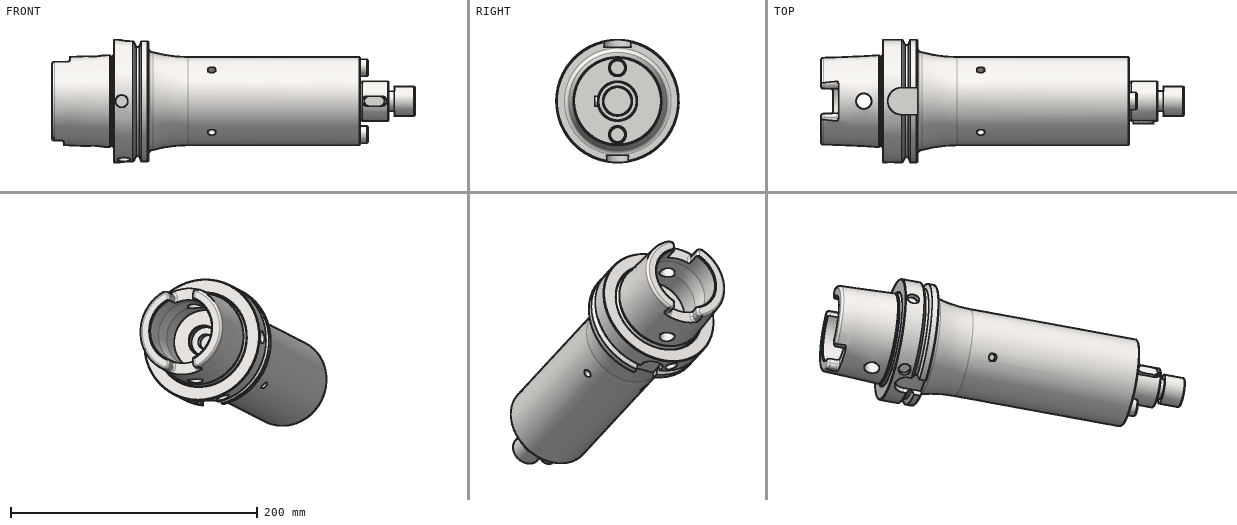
import cadquery as cq
import math


flange_start = 50.0
flange_end = 78.5
body_start = 110.3
body_end = 250.5
pilot_start = 252.0
pilot_end = 273.7
overall_length = 295.0

taper_end_radius = 35.5
taper_root_radius = 37.5
shank_end_fillet = 2.0
relief_start = 47.0
relief_radius = 36.5
relief_slope_length = 1.0
relief_floor_length = 1.2
relief_face_radius = 39.2
relief_face_depth = 1.0

flange_radius = 100.0 / 2
flange_front_chamfer = 0.5
flange_back_chamfer = 1.0
groove_rim_chamfer = 1.0
groove_bottom_radius = 45.7
groove_rim_start = 66.5
groove_bottom_start = 68.5
groove_bottom_end = 70.8
groove_rim_end = 72.5

body_radius = 36.0
neck_start = 82.0
neck_start_radius = 39.8
neck_fillet = neck_start - flange_end
body_chamfer = 1.0

pilot_radius = 16.2
undercut_radius = 15.3
pilot_chamfer = 1.0

mouth_radius = 27.5
bore_radius = 26.5
bore_end_radius = 24.8
bore_cone_start = 20.0
bore_cone_end = 34.5
bore_depth = 53.0
coolant_thread_radius = 11.8
coolant_thread_depth = 6.0
coolant_chamfer = 0.5
coolant_hole_radius = 6.2
coolant_hole_depth = 11.8

slot_half_width = 10.0
upper_slot_depth = 14.5
lower_slot_depth = 9.7
slot_floor_fillet = 1.8
slot_flare_radius = 3.2
slot_flare_top = 32.0

cross_hole_radius = 6.2
cross_hole_x = 34.8
upper_flat_half_width = 11.0
lower_flat_half_width = 8.8
flat_start = 54.3
flat_height = 44.0
flange_hole_radius = 5.0
side_hole_x = 56.5
lower_hole_x = 58.5
lower_hole_angle = 72
flange_hole_depth = 4.0
body_hole_radius = 3.2
body_hole_x = 129.8
body_hole_depth = 8.8

key_width = 8.0
key_start = 253.5
key_end = 270.0
key_top = 18.3
key_bottom = 12.5
keyway_start = 251.8
keyway_end = 272.0

pin_radius = 7.0
pin_offset = 27.0
pin_end = 257.0
pin_seat_depth = pin_end - body_end
pin_chamfer = 1.2

screw_head_radius = 12.0
screw_head_start = 278.0
screw_head_chamfer = 1.0
screw_shank_radius = 8.3
screw_shank_start = body_end


def cylinder_x(start, end, radius, y=0, z=0):
    """Cylinder parallel to the X axis."""
    plane = cq.Workplane("YZ", origin=(start, y, z))
    return plane.circle(radius).extrude(end - start)


def radial_hole(x, angle, surface_radius, radius, depth):
    """Cutter for a blind hole pointing at the axis; the angle turns from -Y towards -Z."""
    direction = cq.Vector(0, -math.cos(math.radians(angle)), -math.sin(math.radians(angle)))
    floor = cq.Vector(x, 0, 0) + direction * (surface_radius - depth)
    return cq.Workplane(obj=cq.Solid.makeCylinder(radius, 2 * depth, floor, direction))


def revolved_blank():
    """Outer shape of the arbor before anything is cut from it."""
    drop = neck_start_radius - body_radius
    run = body_start - neck_start
    neck_radius = (run**2 + drop**2) / (2 * drop)
    half_angle = math.asin(run / neck_radius) / 2
    neck_middle = (
        body_start - neck_radius * math.sin(half_angle),
        body_radius + neck_radius * (1 - math.cos(half_angle)),
    )
    fillet_middle = (
        neck_start - neck_fillet * math.sin(math.pi / 4),
        neck_start_radius + neck_fillet * (1 - math.cos(math.pi / 4)),
    )
    relief_floor_end = relief_start + relief_slope_length + relief_floor_length
    outline = (
        cq.Workplane("XZ")
        .moveTo(0, 0)
        .lineTo(0, taper_end_radius)
        .lineTo(relief_start, taper_root_radius)
        .lineTo(relief_start + relief_slope_length, relief_radius)
        .lineTo(relief_floor_end, relief_radius)
        .lineTo(flange_start + relief_face_depth, relief_face_radius - relief_face_depth)
        .lineTo(flange_start, relief_face_radius)
        .lineTo(flange_start, flange_radius - flange_front_chamfer)
        .lineTo(flange_start + flange_front_chamfer, flange_radius)
        .lineTo(groove_rim_start - groove_rim_chamfer, flange_radius)
        .lineTo(groove_rim_start, flange_radius - groove_rim_chamfer)
        .lineTo(groove_bottom_start, groove_bottom_radius)
        .lineTo(groove_bottom_end, groove_bottom_radius)
        .lineTo(groove_rim_end, flange_radius)
        .lineTo(flange_end - flange_back_chamfer, flange_radius)
        .lineTo(flange_end, flange_radius - flange_back_chamfer)
        .lineTo(flange_end, neck_start_radius + neck_fillet)
        .threePointArc(fillet_middle, (neck_start, neck_start_radius))
        .threePointArc(neck_middle, (body_start, body_radius))
        .lineTo(body_end - body_chamfer, body_radius)
        .lineTo(body_end, body_radius - body_chamfer)
        .lineTo(body_end, undercut_radius)
        .lineTo(pilot_start, undercut_radius)
        .lineTo(pilot_start, pilot_radius)
        .lineTo(pilot_end - pilot_chamfer, pilot_radius)
        .lineTo(pilot_end, pilot_radius - pilot_chamfer)
        .lineTo(pilot_end, 0)
        .close()
    )
    return outline.revolve(360, (0, 0, 0), (1, 0, 0))


def shank_bore():
    """Cutter for the stepped bore of the hollow shank."""
    mouth_chamfer = mouth_radius - bore_radius
    thread_end = bore_depth + coolant_thread_depth
    hole_end = bore_depth + coolant_hole_depth
    outline = (
        cq.Workplane("XZ")
        .moveTo(0, 0)
        .lineTo(0, mouth_radius)
        .lineTo(mouth_chamfer, bore_radius)
        .lineTo(bore_cone_start, bore_radius)
        .lineTo(bore_cone_end, bore_end_radius)
        .lineTo(bore_depth, bore_end_radius)
        .lineTo(bore_depth, coolant_thread_radius + coolant_chamfer)
        .lineTo(bore_depth + coolant_chamfer, coolant_thread_radius)
        .lineTo(thread_end, coolant_thread_radius)
        .lineTo(thread_end, coolant_hole_radius)
        .lineTo(hole_end, coolant_hole_radius)
        .lineTo(hole_end, 0)
        .close()
    )
    return outline.revolve(360, (0, 0, 0), (1, 0, 0))


def drive_slot(depth, side):
    """Cutter for one drive slot whose walls flare outwards at the rim; side is +1 for the top."""
    flare_start = slot_flare_top - slot_flare_radius
    flare_half_width = slot_half_width + slot_flare_radius
    arc_offset = slot_flare_radius * (1 - math.cos(math.pi / 4))
    arc_y = slot_half_width + arc_offset
    arc_z = slot_flare_top - arc_offset
    outline = (
        cq.Workplane("YZ", origin=(-depth, 0, 0))
        .moveTo(slot_half_width, 0)
        .lineTo(slot_half_width, flare_start)
        .threePointArc((arc_y, arc_z), (flare_half_width, slot_flare_top))
        .lineTo(flange_radius, slot_flare_top)
        .lineTo(flange_radius, flange_radius)
        .lineTo(-flange_radius, flange_radius)
        .lineTo(-flange_radius, slot_flare_top)
        .lineTo(-flare_half_width, slot_flare_top)
        .threePointArc((-arc_y, arc_z), (-slot_half_width, flare_start))
        .lineTo(-slot_half_width, 0)
        .close()
    )
    slot = outline.extrude(2 * depth)
    margin = 3.0
    floor_clearance = 0.3
    wall_zone = cq.selectors.BoxSelector(
        (0, -flange_radius + margin, floor_clearance),
        (2 * depth, flange_radius - margin, flange_radius - margin),
    )
    slot = slot.faces(">X").edges(wall_zone).fillet(slot_floor_fillet)
    return slot if side > 0 else slot.mirror("XY")


def flange_flat(half_width, side):
    """Cutter for a round-ended flat across the flange rim; side is +1 for the top."""
    center_x = flat_start + half_width
    outline = (
        cq.Workplane("XY", origin=(0, 0, side * flat_height))
        .moveTo(flange_end, half_width)
        .lineTo(center_x, half_width)
        .threePointArc((flat_start, 0), (center_x, -half_width))
        .lineTo(flange_end, -half_width)
        .close()
    )
    return outline.extrude(side * flange_radius)


def round_ended_bar(start, end):
    """Key-shaped bar in the -Y face of the pilot."""
    bar = cq.Workplane("XZ", origin=((start + end) / 2, -key_bottom, 0))
    return bar.slot2D(end - start, key_width).extrude(key_top - key_bottom)


def make_key():
    """Parallel key, shorter than its keyway and standing proud of the pilot."""
    return round_ended_bar(key_start, key_end)


def make_screw():
    """Clamping screw whose shank ends level with the body end face."""
    head = cylinder_x(screw_head_start, overall_length, screw_head_radius)
    head = head.faces(">X").edges().chamfer(screw_head_chamfer)
    shank = cylinder_x(screw_shank_start, screw_head_start, screw_shank_radius)
    return head.union(shank)


def make_pin(side):
    """Drive pin seated in the body end face; side is +1 for the upper one."""
    pin = cylinder_x(body_end - pin_seat_depth, pin_end, pin_radius, z=side * pin_offset)
    return pin.faces(">X").edges().chamfer(pin_chamfer)


def make_arbor(pins, screw):
    """Arbor with its slots, holes, flats, keyway and the seats of the pins and the screw."""
    arbor = revolved_blank()
    for depth, side in ((upper_slot_depth, 1), (lower_slot_depth, -1)):
        arbor = arbor.cut(drive_slot(depth, side))
    arbor = arbor.faces("<X").edges().fillet(shank_end_fillet)
    arbor = arbor.cut(shank_bore())
    arbor = arbor.cut(
        cq.Workplane("XY", origin=(cross_hole_x, 0, -flange_radius))
        .circle(cross_hole_radius)
        .extrude(2 * flange_radius)
    )
    for half_width, side in ((upper_flat_half_width, 1), (lower_flat_half_width, -1)):
        arbor = arbor.cut(flange_flat(half_width, side))
    for x, angle in ((side_hole_x, 0), (lower_hole_x, lower_hole_angle)):
        arbor = arbor.cut(radial_hole(x, angle, flange_radius, flange_hole_radius, flange_hole_depth))
    for angle in (45, 135, 225, 315):
        arbor = arbor.cut(radial_hole(body_hole_x, angle, body_radius, body_hole_radius, body_hole_depth))
    arbor = arbor.cut(round_ended_bar(keyway_start, keyway_end))
    for pin in pins:
        arbor = arbor.cut(pin)
    return arbor.cut(screw)


key = make_key()
pins = [make_pin(side) for side in (1, -1)]
screw = make_screw()
arbor = make_arbor(pins, screw)

result = cq.Compound.makeCompound([arbor.val(), key.val(), *[pin.val() for pin in pins], screw.val()])